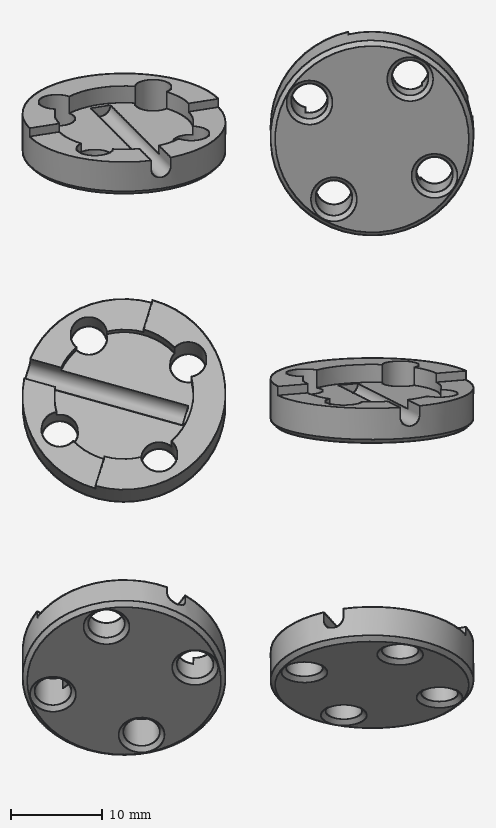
import cadquery as cq

disc_diameter = 22.2
disc_radius = disc_diameter / 2
disc_height = 5.0
bottom_chamfer = 0.5

step_depth = 1.0
lowered_rim_z = disc_height - step_depth
floor_z = lowered_rim_z - step_depth
recess_radius = 7.6

hole_diameter = 4.0
hole_radius = hole_diameter / 2
hole_spacing = 11.32

groove_radius = 1.15
groove_start_x = -7.0
groove_length = disc_radius - groove_start_x


def make_disc():
    disc = cq.Workplane("XY").circle(disc_radius).extrude(disc_height)
    return disc.faces("<Z").edges().chamfer(bottom_chamfer)


def make_rim_step():
    """Block that lowers the +X half of the rim."""
    return (
        cq.Workplane("XY")
        .box(disc_radius, disc_diameter, step_depth, centered=(False, True, False))
        .translate((0, 0, lowered_rim_z))
    )


def make_recess():
    return (
        cq.Workplane("XY", origin=(0, 0, floor_z))
        .circle(recess_radius)
        .extrude(disc_height - floor_z)
    )


def make_holes():
    """Revolved hole profile, flared at the bottom, repeated on the square pattern."""
    hole = (
        cq.Workplane("XZ")
        .moveTo(0, 0)
        .lineTo(hole_radius + bottom_chamfer, 0)
        .lineTo(hole_radius, bottom_chamfer)
        .lineTo(hole_radius, disc_height)
        .lineTo(0, disc_height)
        .close()
        .revolve(360, (0, 0, 0), (0, 1, 0))
    )
    return (
        cq.Workplane("XY")
        .rarray(hole_spacing, hole_spacing, 2, 2)
        .eachpoint(hole.val())
    )


def make_groove():
    """U-shaped channel: half-round below the recess floor, straight walls above."""
    wall_height = disc_height - floor_z
    return (
        cq.Workplane("YZ", origin=(groove_start_x, 0, floor_z))
        .moveTo(-groove_radius, wall_height)
        .lineTo(-groove_radius, 0)
        .threePointArc((0, -groove_radius), (groove_radius, 0))
        .lineTo(groove_radius, wall_height)
        .close()
        .extrude(groove_length)
    )


result = (
    make_disc()
    .cut(make_rim_step())
    .cut(make_recess())
    .cut(make_holes())
    .cut(make_groove())
)